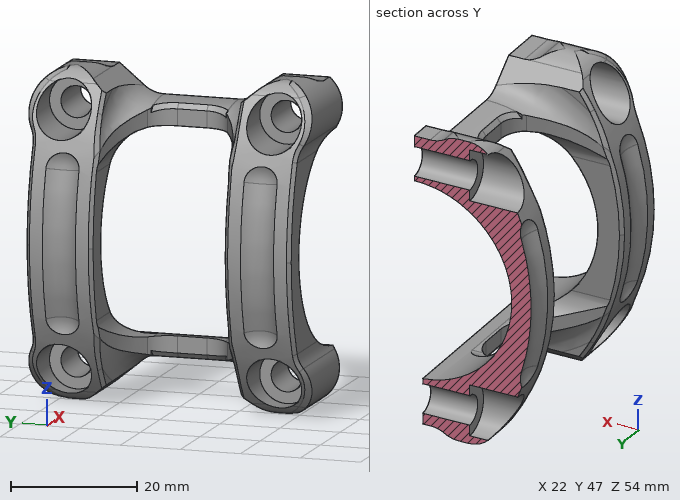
import cadquery as cq
import math


bore_radius = 17.5
bridge_outer_radius = 21.0
lower_end_gap = 1.5

boss_y = 17.5
boss_z = 21.0
boss_radius = 6.0
screw_diameter = 5.2
counterbore_diameter = 9.0
counterbore_floor_x = -10.0

arm_outer_y = 22.0
arm_inner_y = 11.0
blend_radius = 5.0
face_depth = 22.0
face_radius = 42.0
face_chamfer = 0.6
outer_bevel_end_y = 18.5

tip_flat_drop = 1.4
tip_flat_length = 2.9

opening_half_height = 17.0
bridge_depth = 4.7
bridge_wall_half_length = 2.45
opening_side_radius = 28.0
relief_half_width = 11.25
bridge_chamfer = 0.7

groove_width = 5.5
groove_depth = 1.05
groove_half_length = 12.2

clearance = 2.0

arm_center_y = (arm_outer_y + arm_inner_y) / 2
face_center_x = face_radius - face_depth
top_z = boss_z + boss_radius


def polar(center, radius, angle):
    """Point at an angle (radians) on a circle."""
    return (center[0] + radius * math.cos(angle), center[1] + radius * math.sin(angle))


def boss_outline():
    """Arm and boss outline in YZ, extruded along X."""
    boss = (boss_y, boss_z)
    blend_y = arm_outer_y + blend_radius
    blend_reach = boss_radius + blend_radius
    blend_z = boss_z - math.sqrt(blend_reach**2 - (blend_y - boss_y) ** 2)
    blend = (blend_y, blend_z)
    boss_angle = math.atan2(blend_z - boss_z, blend_y - boss_y)
    blend_mid_angle = math.pi + boss_angle / 2

    relief = (relief_half_width - blend_radius, bridge_outer_radius + blend_radius)
    center_distance = math.dist(boss, relief)
    center_angle = math.atan2(relief[1] - boss[1], relief[0] - boss[0])
    flank_angle = center_angle - math.acos((boss_radius + blend_radius) / center_distance)
    flank_start = polar(boss, boss_radius, flank_angle)
    flank_end = polar(relief, blend_radius, flank_angle + math.pi)

    return (
        cq.Workplane("YZ", origin=(-face_depth - clearance, 0, 0))
        .moveTo(0, 0)
        .lineTo(arm_outer_y, 0)
        .lineTo(arm_outer_y, blend_z)
        .threePointArc(polar(blend, blend_radius, blend_mid_angle), polar(boss, boss_radius, boss_angle))
        .threePointArc((boss_y, top_z), flank_start)
        .lineTo(*flank_end)
        .lineTo(0, flank_end[1])
        .close()
        .extrude(face_depth + 2 * clearance)
    )


def side_outline():
    """Crowned front face, rounded shoulder and stepped tip in XZ, extruded along Y."""
    crown = (face_center_x, 0)
    shoulder_z = top_z - blend_radius
    shoulder_reach = face_radius - blend_radius
    shoulder = (face_center_x - math.sqrt(shoulder_reach**2 - shoulder_z**2), shoulder_z)
    face_end_angle = math.pi - math.asin(shoulder_z / shoulder_reach)

    tip_z = top_z - tip_flat_drop
    step_angle = math.acos(1 - tip_flat_drop / (2 * blend_radius))
    step_half_length = blend_radius * math.sin(step_angle)
    step_mid = (-tip_flat_length - step_half_length, (top_z + tip_z) / 2)
    step_lower = (-tip_flat_length, tip_z + blend_radius)
    step_upper = (step_mid[0] - step_half_length, top_z - blend_radius)
    up = math.pi / 2
    return (
        cq.Workplane("XZ")
        .moveTo(clearance, 0)
        .lineTo(-face_depth, 0)
        .threePointArc(
            polar(crown, face_radius, (math.pi + face_end_angle) / 2),
            polar(crown, face_radius, face_end_angle),
        )
        .threePointArc(
            polar(shoulder, blend_radius, (face_end_angle + up) / 2),
            (shoulder[0], top_z),
        )
        .lineTo(step_upper[0], top_z)
        .threePointArc(polar(step_upper, blend_radius, up - step_angle / 2), step_mid)
        .threePointArc(polar(step_lower, blend_radius, -up - step_angle / 2), (-tip_flat_length, tip_z))
        .lineTo(clearance, tip_z)
        .close()
        .extrude(-boss_y - boss_radius - clearance)
    )


def bevel(body, edge_points, size):
    """Chamfer the edges closest to the given points, with the edges tangent to them."""
    edges = [body.edges(cq.selectors.NearestToPointSelector(point)).val() for point in edge_points]
    return body.newObject(edges).chamfer(size)


def split_at(body, y):
    """The parts of a body on the inner and outer sides of a plane of constant Y."""
    size = 4 * top_z
    inner_side = cq.Workplane("XY", origin=(0, y - size / 2, 0)).box(size, size, size)
    return body.intersect(inner_side), body.cut(inner_side)


def arm_body():
    """Solid quadrant with the outer side of its front edge bevelled until it runs out on the boss."""
    inner, outer = split_at(boss_outline().intersect(side_outline()), outer_bevel_end_y)
    outer = bevel(outer, [(-face_depth, arm_outer_y, boss_z / 2)], face_chamfer)
    return inner.union(outer)


def bridge_relief():
    """Ring above the bridge, revolved about the bore axis, blending into the arms."""
    relief_outer_radius = 2 * top_z
    return (
        cq.Workplane("XY")
        .moveTo(bridge_outer_radius, 0)
        .lineTo(bridge_outer_radius, relief_half_width - blend_radius)
        .radiusArc((bridge_outer_radius + blend_radius, relief_half_width), blend_radius)
        .lineTo(relief_outer_radius, relief_half_width)
        .lineTo(relief_outer_radius, 0)
        .close()
        .revolve(360, (0, 0, 0), (0, 1, 0))
    )


def front_opening():
    """Arched opening in XY that leaves the bridge wall, extruded along Z."""
    corner = (-bridge_depth - blend_radius, bridge_wall_half_length)
    side_y = arm_inner_y - opening_side_radius
    side_reach = opening_side_radius - blend_radius
    side = (corner[0] - math.sqrt(side_reach**2 - (corner[1] - side_y) ** 2), side_y)
    join_angle = math.atan2(corner[1] - side[1], corner[0] - side[0])
    up = math.pi / 2
    front_x = -face_depth - clearance
    return (
        cq.Workplane("XY")
        .moveTo(front_x, 0)
        .lineTo(-bridge_depth, 0)
        .lineTo(-bridge_depth, bridge_wall_half_length)
        .threePointArc(polar(corner, blend_radius, join_angle / 2), polar(corner, blend_radius, join_angle))
        .threePointArc(
            polar(side, opening_side_radius, (join_angle + up) / 2),
            (side[0], arm_inner_y),
        )
        .lineTo(front_x, arm_inner_y)
        .close()
        .extrude(top_z + clearance)
    )


def through_opening():
    """Round-cornered window between the arms, cut right through along X."""
    return (
        cq.Workplane("YZ", origin=(-face_depth - clearance, 0, 0))
        .rect(2 * arm_inner_y, 2 * opening_half_height)
        .extrude(face_depth + 2 * clearance)
        .edges("|X")
        .fillet(blend_radius)
    )


def bore():
    return cq.Workplane("XZ").circle(bore_radius).extrude(2 * top_z, both=True)


def screw_hole():
    """Screw clearance hole with a counterbore open to the front face."""
    center = (boss_y, boss_z)
    front_x = -face_depth - clearance
    shank = (
        cq.Workplane("YZ", origin=(front_x, 0, 0))
        .center(*center)
        .circle(screw_diameter / 2)
        .extrude(face_depth + 2 * clearance)
    )
    head = (
        cq.Workplane("YZ", origin=(front_x, 0, 0))
        .center(*center)
        .circle(counterbore_diameter / 2)
        .extrude(counterbore_floor_x - front_x)
    )
    return shank.union(head)


def groove():
    """Shallow round-bottomed groove following the crown, with spherical ends."""
    half_width = groove_width / 2
    section_radius = (half_width**2 + groove_depth**2) / (2 * groove_depth)
    path_radius = face_radius - groove_depth + section_radius
    end_angle = math.degrees(math.asin(groove_half_length / face_radius))
    ball = cq.Workplane("XY").sphere(section_radius).translate((-path_radius, arm_center_y, 0))
    ring = (
        cq.Workplane("XY")
        .center(-path_radius, arm_center_y)
        .circle(section_radius)
        .revolve(end_angle, (path_radius, 0, 0), (path_radius, 1, 0))
    )
    end = ball.rotate((0, 0, 0), (0, 1, 0), end_angle)
    return ring.union(end).translate((face_center_x, 0, 0))


def build_quadrant():
    body = arm_body().cut(bridge_relief()).cut(front_opening())
    inner_edge_points = [
        (-face_depth, arm_inner_y, arm_inner_y),
        (-bore_radius, relief_half_width, boss_z),
    ]
    body = bevel(body, inner_edge_points, face_chamfer)
    body = body.cut(through_opening()).cut(bore())
    bridge, arm = split_at(body, relief_half_width - blend_radius)
    bridge = bevel(bridge, [(-bridge_depth, 0, bridge_outer_radius)], bridge_chamfer)
    body = bridge.union(arm)
    return body.cut(screw_hole()).cut(groove())


def upper_half(quadrant, end_gap):
    """The quadrant and its mirror image, trimmed flat at end_gap from the bore axis."""
    size = 4 * top_z
    past_end = (
        cq.Workplane("XY", origin=(-end_gap, 0, 0))
        .box(size, size, size, centered=(False, True, True))
    )
    return quadrant.union(quadrant.mirror("XZ")).cut(past_end)


quadrant = build_quadrant()
upper = upper_half(quadrant, 0)
lower = upper_half(quadrant, lower_end_gap).mirror("XY")
result = upper.union(lower)